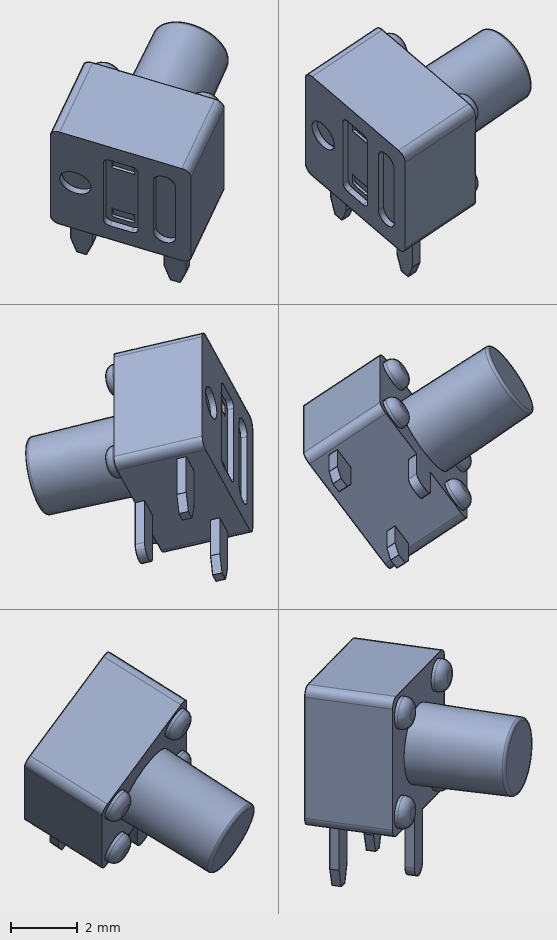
import cadquery as cq


HOUSING_SIDE = 4.5
HOUSING_DEPTH = 2.8
HOUSING_CORNER_RADIUS = 0.3

PLUNGER_LENGTH = 3.2
PLUNGER_BASE_DIAMETER = 2.5
PLUNGER_TIP_DIAMETER = 2.4
PLUNGER_EDGE_RADIUS = 0.1

PEG_DIAMETER = 1.0
PEG_HEIGHT = 0.4
PEG_EDGE_RADIUS = 0.3
PEG_OFFSET = 1.6

PIN_LENGTH = 2.0
PIN_THICKNESS = 0.3
SIDE_PIN_WIDTH = 0.7
SIDE_PIN_TIP_WIDTH = 0.31
SIDE_PIN_TAPER_LENGTH = 0.6
SIDE_PIN_OFFSET = 1.495
SIDE_PIN_SETBACK = 0.65
MIDDLE_PIN_WIDTH = 0.72

RECESS_DEPTH = 0.2
RECESS_HEIGHT = 3.2
ROUND_RECESS_DIAMETER = 1.0
ROUND_RECESS_X = -1.45
SLOT_WIDTH = 0.7
SLOT_X = 1.4
PANEL_WIDTH = 1.1
PANEL_CORNER_RADIUS = 0.2

WINDOW_WIDTH = MIDDLE_PIN_WIDTH
WINDOW_HEIGHT = 0.4
WINDOW_DEPTH = 0.1
WINDOW_CORNER_RADIUS = 0.1
WINDOW_END_GAP = 0.2

HOUSING_BOTTOM = -HOUSING_SIDE / 2
PIN_END = HOUSING_BOTTOM - PIN_LENGTH


def plane_at(y):
    """XZ sketch plane at depth y whose extrusions grow toward +Y."""
    return cq.Workplane(cq.Plane(origin=(0, y, 0), xDir=(1, 0, 0), normal=(0, 1, 0)))


def block(width, depth, height, y, z=0):
    """Box centred on X = 0 and on z, reaching from y toward +Y."""
    return plane_at(y).center(0, -z).rect(width, height).extrude(depth)


def housing():
    body = block(HOUSING_SIDE, HOUSING_DEPTH, HOUSING_SIDE, 0)
    return body.edges("|Y").fillet(HOUSING_CORNER_RADIUS)


def plunger():
    cone = (
        plane_at(HOUSING_DEPTH)
        .circle(PLUNGER_BASE_DIAMETER / 2)
        .workplane(offset=PLUNGER_LENGTH)
        .circle(PLUNGER_TIP_DIAMETER / 2)
        .loft()
    )
    return cone.faces(">Y").edges().fillet(PLUNGER_EDGE_RADIUS)


def pegs():
    posts = (
        plane_at(HOUSING_DEPTH)
        .rect(2 * PEG_OFFSET, 2 * PEG_OFFSET, forConstruction=True)
        .vertices()
        .circle(PEG_DIAMETER / 2)
        .extrude(PEG_HEIGHT)
    )
    return posts.faces(">Y").edges().fillet(PEG_EDGE_RADIUS)


def side_pin(x):
    """Flat pin with a tapered end, set back from the front face."""
    taper_start = PIN_END + SIDE_PIN_TAPER_LENGTH
    half_outline = [
        (SIDE_PIN_WIDTH / 2, HOUSING_BOTTOM),
        (SIDE_PIN_WIDTH / 2, taper_start),
        (SIDE_PIN_TIP_WIDTH / 2, PIN_END),
    ]
    mirrored_half = [(-px, pz) for px, pz in reversed(half_outline)]
    outline = [(x + px, -pz) for px, pz in half_outline + mirrored_half]
    return plane_at(SIDE_PIN_SETBACK).polyline(outline).close().extrude(PIN_THICKNESS)


def middle_pin():
    """Flat pin with a full-round end, flush with the back of the housing."""
    radius = MIDDLE_PIN_WIDTH / 2
    round_start = PIN_END + radius
    return (
        plane_at(HOUSING_DEPTH - PIN_THICKNESS)
        .moveTo(-radius, -HOUSING_BOTTOM)
        .lineTo(-radius, -round_start)
        .threePointArc((0, -PIN_END), (radius, -round_start))
        .lineTo(radius, -HOUSING_BOTTOM)
        .close()
        .extrude(PIN_THICKNESS)
    )


def round_recess():
    return plane_at(0).center(ROUND_RECESS_X, 0).circle(ROUND_RECESS_DIAMETER / 2).extrude(RECESS_DEPTH)


def slot_recess():
    return plane_at(0).center(SLOT_X, 0).slot2D(RECESS_HEIGHT, SLOT_WIDTH, 90).extrude(RECESS_DEPTH)


def panel_recess():
    panel = block(PANEL_WIDTH, RECESS_DEPTH, RECESS_HEIGHT, 0)
    return panel.edges("|Y").fillet(PANEL_CORNER_RADIUS)


def window(side):
    """Window at the top (side = 1) or bottom (side = -1), rounded at its two outer corners."""
    z = side * (RECESS_HEIGHT / 2 - WINDOW_END_GAP - WINDOW_HEIGHT / 2)
    opening = block(WINDOW_WIDTH, WINDOW_DEPTH, WINDOW_HEIGHT, RECESS_DEPTH, z)
    outer_face = ">Z" if side > 0 else "<Z"
    return opening.faces(outer_face).edges("|Y").fillet(WINDOW_CORNER_RADIUS)


result = housing().union(plunger()).union(pegs()).union(middle_pin())

for x in (-SIDE_PIN_OFFSET, SIDE_PIN_OFFSET):
    result = result.union(side_pin(x))

for recess in (round_recess(), slot_recess(), panel_recess(), window(1), window(-1)):
    result = result.cut(recess)